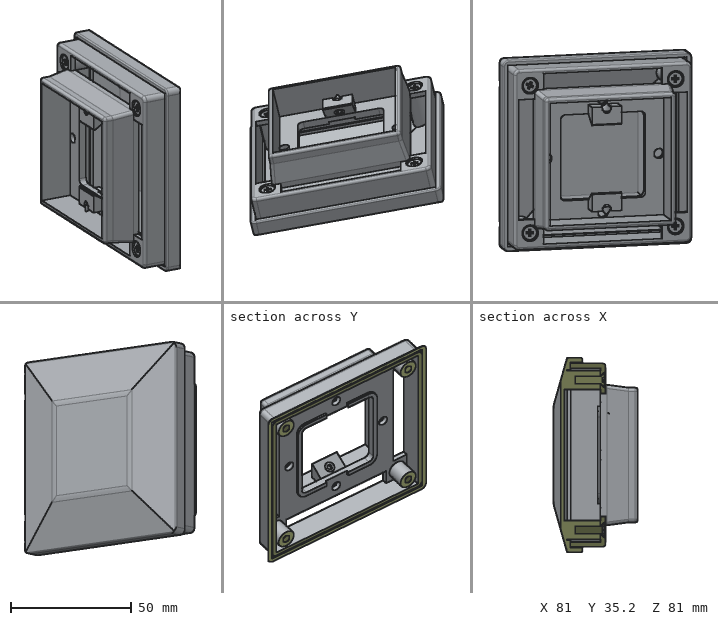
import cadquery as cq
import math


SKIRT_STRAIGHT_END = 4.0
FLARE_END = 13.0
FACE_Y = 13.4
PLATE_THICKNESS = 2.2
PLATE_BACK_Y = FACE_Y + PLATE_THICKNESS
RIM_FRONT_Y = 23.0
SEAT_Y = 28.0
SLOPE_START_Y = 29.45
TOTAL_DEPTH = 35.2

COVER_SIZE = 81.0
COVER_CORNER_RADIUS = 2.5
COVER_FRONT_ROUND = 0.6
COVER_SHOULDER_ROUND = 0.75
CROWN_FLAT_SIZE = 40.4
CROWN_ROUND = 9.0
SEAT_POCKET_SIZE = 76.8
COVER_CAVITY_SIZE = 70.6
CEILING_SIZE = 40.0
CEILING_Y = 33.7
POST_RADIUS = 4.0

BASE_SIZE = 76.4
BASE_CORNER_RADIUS = 2.2
BASE_FRONT_ROUND = 1.2
BASE_CAVITY_SIZE = 72.2
SKIRT_SIZE = 56.2
SKIRT_FOOT_SIZE = 58.6
SKIRT_OPENING = 52.0
SKIRT_CORNER_RADIUS = 1.5
SKIRT_FRONT_ROUND = 1.2
SLOT_LENGTH = 51.0
WINDOW_SIZE = 36.4
WINDOW_CORNER_RADIUS = 2.2
LIP_WIDTH = 2.0
LIP_HEIGHT = 1.0
LIP_BACK_Y = PLATE_BACK_Y + LIP_HEIGHT
LIP_GAP_WIDTH = 11.0
ROUND_HOLE_OFFSET = 24.0
ROUND_HOLE_RADIUS = 2.05

SCREW_OFFSET = 31.2
COUNTERSINK_RADIUS = 3.45
HEAD_RADIUS = 2.9
SHANK_RADIUS = 1.5
SHANK_END_Y = 26.0
CROSS_LENGTH = 2.9
CROSS_WIDTH = 0.7
CROSS_DEPTH = 0.8
TURNED_SCREW_ANGLE = 25.0

BLOCK_WIDTH = 12.6
BLOCK_FRONT_Y = 6.8
BLOCK_INNER_Z = 14.35
BLOCK_OUTER_Z = 22.1
BLOCK_EDGE_CHAMFER = 0.45
SET_SCREW_RADIUS = 2.1
SET_SCREW_CONE_LENGTH = 2.6
SET_SCREW_TIP_Y = 6.65
SET_SCREW_TIP_Z = 23.5
SET_SCREW_TIP_RADIUS = 0.2
SOCKET_ACROSS_CORNERS = 2.3
SOCKET_DEPTH = 1.5

QUARTER_TURNS = (0, 90, 180, 270)
Y_AXIS_END = (0, 1, 0)


def turn(body, angle):
    """Turn a body about the Y axis."""
    return body.rotate((0, 0, 0), Y_AXIS_END, angle)


def square_block(size, y_start, y_end):
    """Square prism centred on the Y axis."""
    return cq.Workplane("XZ", origin=(0, y_start, 0)).rect(size, size).extrude(y_start - y_end)


def square_taper(size_start, size_end, y_start, y_end):
    """Square frustum centred on the Y axis."""
    return (
        cq.Workplane("XZ", origin=(0, y_start, 0))
        .rect(size_start, size_start)
        .workplane(offset=y_start - y_end)
        .rect(size_end, size_end)
        .loft(ruled=True)
    )


def rounded_taper(size_start, size_end, corner_radius, y_start, y_end):
    """Frustum centred on the Y axis with both end squares rounded by the same radius."""
    start = cq.Sketch().rect(size_start, size_start).vertices().fillet(corner_radius)
    end = cq.Sketch().rect(size_end, size_end).vertices().fillet(corner_radius)
    end = end.moved(cq.Location(cq.Vector(0, 0, y_start - y_end)))
    return cq.Workplane("XZ", origin=(0, y_start, 0)).placeSketch(start, end).loft(ruled=True)


def round_bar(x, z, radius, y_start, y_end):
    """Cylinder parallel to the Y axis."""
    return cq.Workplane("XZ", origin=(x, y_start, z)).circle(radius).extrude(y_start - y_end)


def revolved_about_y(points):
    """Turned body from an outline of (radius, y) points."""
    return cq.Workplane("XY").polyline(points).close().revolve(360, (0, 0, 0), Y_AXIS_END)



HEAD_FACE_Y = FACE_Y + COUNTERSINK_RADIUS - HEAD_RADIUS
CONE_END_Y = FACE_Y + COUNTERSINK_RADIUS - SHANK_RADIUS
SCREW_CENTRES = [(sx * SCREW_OFFSET, sz * SCREW_OFFSET) for sx in (-1, 1) for sz in (-1, 1)]


def countersunk_shape(face_radius, face_y):
    """Countersunk cone with its shank."""
    return revolved_about_y([
        (0, face_y),
        (face_radius, face_y),
        (SHANK_RADIUS, CONE_END_Y),
        (SHANK_RADIUS, SHANK_END_Y),
        (0, SHANK_END_Y),
    ])


def make_corner_screw(x, z):
    screw = countersunk_shape(HEAD_RADIUS, HEAD_FACE_Y)
    for length, width in ((CROSS_LENGTH, CROSS_WIDTH), (CROSS_WIDTH, CROSS_LENGTH)):
        arm = cq.Workplane("XZ", origin=(0, HEAD_FACE_Y, 0)).rect(length, width).extrude(-CROSS_DEPTH)
        screw = screw.cut(arm)
    if x < 0 < z:
        screw = turn(screw, TURNED_SCREW_ANGLE)
    return screw.translate((x, 0, z))


corner_screws = [make_corner_screw(x, z) for x, z in SCREW_CENTRES]
screw_hole = countersunk_shape(COUNTERSINK_RADIUS, FACE_Y)
screw_holes = [screw_hole.translate((x, 0, z)) for x, z in SCREW_CENTRES]



def make_cover():
    rim = square_block(COVER_SIZE, PLATE_BACK_Y, SLOPE_START_Y)
    crown = square_taper(COVER_SIZE, CROWN_FLAT_SIZE, SLOPE_START_Y, TOTAL_DEPTH)
    envelope = rim.union(crown)
    envelope = envelope.faces(">Y").edges().fillet(CROWN_ROUND)
    shoulder_zone = cq.selectors.BoxSelector(
        (-COVER_SIZE, SLOPE_START_Y - COVER_SHOULDER_ROUND, -COVER_SIZE),
        (COVER_SIZE, SLOPE_START_Y + COVER_SHOULDER_ROUND, COVER_SIZE),
    )
    envelope = envelope.edges(shoulder_zone).fillet(COVER_SHOULDER_ROUND)
    corner_limit = rounded_taper(COVER_SIZE, COVER_SIZE, COVER_CORNER_RADIUS, PLATE_BACK_Y, TOTAL_DEPTH)
    envelope = envelope.intersect(corner_limit)
    cover = envelope.intersect(square_block(COVER_SIZE, RIM_FRONT_Y, TOTAL_DEPTH))
    cover = cover.faces("<Y").edges().fillet(COVER_FRONT_ROUND)

    slope = (TOTAL_DEPTH - SLOPE_START_Y) / (COVER_SIZE - CROWN_FLAT_SIZE)
    ceiling_start_y = CEILING_Y - slope * (COVER_CAVITY_SIZE - CEILING_SIZE)
    cover = cover.cut(square_block(SEAT_POCKET_SIZE, RIM_FRONT_Y, SEAT_Y))
    cover = cover.cut(square_block(COVER_CAVITY_SIZE, SEAT_Y, ceiling_start_y))
    cover = cover.cut(square_taper(COVER_CAVITY_SIZE, CEILING_SIZE, ceiling_start_y, CEILING_Y))

    for x, z in SCREW_CENTRES:
        post = round_bar(x, z, POST_RADIUS, PLATE_BACK_Y, TOTAL_DEPTH).intersect(envelope)
        cover = cover.union(post)
    for hole in screw_holes:
        cover = cover.cut(hole)
    return cover


cover = make_cover()



def make_skirt():
    """Square skirt that flares out towards the face of the base."""
    straight = rounded_taper(SKIRT_SIZE, SKIRT_SIZE, SKIRT_CORNER_RADIUS, 0, SKIRT_STRAIGHT_END)
    flare = rounded_taper(SKIRT_SIZE, SKIRT_FOOT_SIZE, SKIRT_CORNER_RADIUS, SKIRT_STRAIGHT_END, FLARE_END)
    foot = rounded_taper(SKIRT_FOOT_SIZE, SKIRT_FOOT_SIZE, SKIRT_CORNER_RADIUS, FLARE_END, FACE_Y)
    skirt = straight.union(flare).union(foot)
    return skirt.faces("<Y").edges().fillet(SKIRT_FRONT_ROUND)


def make_base():
    tray = square_block(BASE_SIZE, FACE_Y, SEAT_Y).edges("|Y").fillet(BASE_CORNER_RADIUS)
    tray = tray.faces("<Y").edges().fillet(BASE_FRONT_ROUND)
    base = tray.cut(square_block(BASE_CAVITY_SIZE, PLATE_BACK_Y, SEAT_Y))
    base = base.union(make_skirt()).cut(square_block(SKIRT_OPENING, 0, FACE_Y))

    lip_size = WINDOW_SIZE + 2 * LIP_WIDTH
    lip_radius = WINDOW_CORNER_RADIUS + LIP_WIDTH
    lip = rounded_taper(lip_size, lip_size, lip_radius, PLATE_BACK_Y, LIP_BACK_Y)
    lip_gap = (
        cq.Workplane("XZ", origin=(0, PLATE_BACK_Y, 0))
        .rect(LIP_GAP_WIDTH, lip_size)
        .extrude(-LIP_HEIGHT)
    )
    base = base.union(lip.cut(lip_gap))
    window = rounded_taper(WINDOW_SIZE, WINDOW_SIZE, WINDOW_CORNER_RADIUS, FACE_Y, LIP_BACK_Y)
    base = base.cut(window)

    slot_width = (BASE_CAVITY_SIZE - SKIRT_FOOT_SIZE) / 2
    slot_centre = (BASE_CAVITY_SIZE + SKIRT_FOOT_SIZE) / 4
    slot = (
        cq.Workplane("XZ", origin=(0, FACE_Y, slot_centre))
        .rect(SLOT_LENGTH, slot_width)
        .extrude(-PLATE_THICKNESS)
    )
    round_hole = round_bar(0, ROUND_HOLE_OFFSET, ROUND_HOLE_RADIUS, FACE_Y, PLATE_BACK_Y)
    for angle in QUARTER_TURNS:
        base = base.cut(turn(slot, angle)).cut(turn(round_hole, angle))

    for hole in screw_holes:
        base = base.cut(hole)
    return base


base = make_base()



SLOPE_FRONT_Y = BLOCK_FRONT_Y + BLOCK_EDGE_CHAMFER
SLOPE_BACK_Z = WINDOW_SIZE / 2
SLOPE_ANGLE = math.atan2(SLOPE_BACK_Z - BLOCK_INNER_Z, FACE_Y - SLOPE_FRONT_Y)
AXIS_Y = -math.sin(SLOPE_ANGLE)
AXIS_Z = math.cos(SLOPE_ANGLE)
SET_SCREW_LENGTH = (SET_SCREW_TIP_Y - SLOPE_FRONT_Y) * AXIS_Y + (SET_SCREW_TIP_Z - BLOCK_INNER_Z) * AXIS_Z
SET_SCREW_PLANE = cq.Plane(
    origin=(0, SET_SCREW_TIP_Y - SET_SCREW_LENGTH * AXIS_Y, SET_SCREW_TIP_Z - SET_SCREW_LENGTH * AXIS_Z),
    xDir=(1, 0, 0),
    normal=(0, AXIS_Y, AXIS_Z),
)


def make_set_screw():
    """Headless screw with a hexagon socket at one end and a blunt cone at the other."""
    shank_length = SET_SCREW_LENGTH - SET_SCREW_CONE_LENGTH
    shank = cq.Workplane(SET_SCREW_PLANE).circle(SET_SCREW_RADIUS).extrude(shank_length)
    tip = cq.Solid.makeCone(
        SET_SCREW_RADIUS,
        SET_SCREW_TIP_RADIUS,
        SET_SCREW_CONE_LENGTH,
        SET_SCREW_PLANE.toWorldCoords((0, 0, shank_length)),
        SET_SCREW_PLANE.zDir,
    )
    socket = cq.Workplane(SET_SCREW_PLANE).polygon(6, SOCKET_ACROSS_CORNERS).extrude(SOCKET_DEPTH)
    return shank.union(cq.Workplane(tip)).cut(socket)


def make_clamp_block():
    block = (
        cq.Workplane("YZ", origin=(-BLOCK_WIDTH / 2, 0, 0))
        .polyline([
            (BLOCK_FRONT_Y, BLOCK_OUTER_Z),
            (FACE_Y, BLOCK_OUTER_Z),
            (FACE_Y, SLOPE_BACK_Z),
            (SLOPE_FRONT_Y, BLOCK_INNER_Z),
            (BLOCK_FRONT_Y, BLOCK_INNER_Z + BLOCK_EDGE_CHAMFER),
        ])
        .close()
        .extrude(BLOCK_WIDTH)
    )
    bore = cq.Workplane(SET_SCREW_PLANE).circle(SET_SCREW_RADIUS).extrude(2 * SET_SCREW_LENGTH)
    return block.cut(bore)


HALF_TURNS = (0, 180)
clamp_blocks = [turn(make_clamp_block(), angle) for angle in HALF_TURNS]
set_screws = [turn(make_set_screw(), angle) for angle in HALF_TURNS]

bodies = [cover, base, *corner_screws, *clamp_blocks, *set_screws]
result = cq.Compound.makeCompound([body.val() for body in bodies])